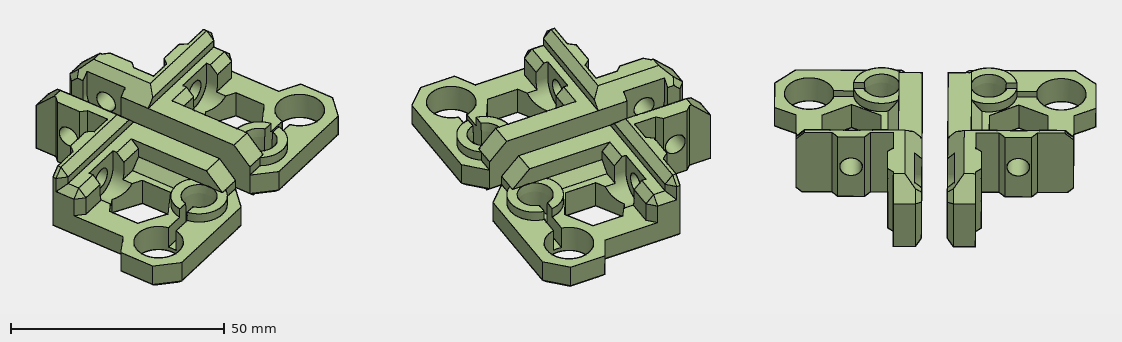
import cadquery as cq


height = 18.0
plate_top = 7.0
ring_top = 9.5
rib_top = 14.0
pocket_floor = 1.1
screw_z = height / 2

arm_end_x = -20.2
plate_end_x = 36.6

inner_y = 3.0
outer_y = 37.65
wall_end_y = 32.5
corner_cut = 4.9
ear_base_x = 19.9
ear_tip_x = 22.7

wall_thickness = 2.9
step_depth = 8.0
edge_chamfer = 2.0
arm_outer_y = 9.65
arm_top_inner_y = 6.9
arm_end_slope = 5.05
arm_tip_chamfer = 1.4
bottom_chamfer = 1.4
rib_outer_y = 8.5
rib_end_x = plate_end_x - corner_cut
rib_end_slope = rib_top - ring_top
rib_foot = ring_top - plate_top

pad_base = 8.95
pad_tip = 6.25
arm_pad_depth = 1.35
wall_pad_depth = 1.65
arm_screw_x = -10.1
wall_screw_y = 19.6

screw_diameter = 5.3
arm_head_diameter = 10.8
arm_head_depth = 1.65
wall_head_diameter = 9.95
wall_head_x = 4.9

hex_x = 15.9
hex_across_corners = 15.9
rod_x = 27.85
rod_y = 29.5
rod_diameter = 11.6
socket_y = 12.6
socket_diameter = 8.0
socket_mouth_diameter = 8.4
socket_hole_diameter = 5.0
ring_diameter = 13.25
slot_width = 2.1


def box(x0, x1, y0, y1, z0, z1):
    """Box between two opposite corners."""
    return cq.Workplane("XY").box(x1 - x0, y1 - y0, z1 - z0, centered=False).translate((x0, y0, z0))


def upright_disc(x, y, diameter, z0, z1):
    """Vertical cylinder."""
    return cq.Workplane("XY", origin=(x, y, z0)).circle(diameter / 2).extrude(z1 - z0)


def chamfered_block(depth, top):
    """Block behind the wall face, above the plate chamfer, with its free corner chamfered."""
    block = box(0, depth, inner_y, wall_end_y, bottom_chamfer, top)
    back_edges = block.faces(">X").edges(">Y or >Z")
    end_edge = block.edges(">Y and >Z")
    return back_edges.add(end_edge).chamfer(edge_chamfer)


def make_plate():
    """Base plate with cut corners, an ear at the free end and a chamfered underside."""
    plate = (
        cq.Workplane("XY")
        .polyline([
            (0, inner_y),
            (rib_end_x, inner_y),
            (plate_end_x, inner_y + corner_cut),
            (plate_end_x, outer_y - corner_cut),
            (plate_end_x - corner_cut, outer_y),
            (ear_tip_x, outer_y),
            (ear_base_x, wall_end_y),
            (0, wall_end_y),
        ])
        .close()
        .extrude(plate_top)
    )
    return plate.faces("<Z").edges("not <X").chamfer(bottom_chamfer)


def make_wall():
    """Tall wall with the lower step block behind it."""
    return chamfered_block(wall_thickness, height).union(chamfered_block(step_depth, rib_top))


def make_arm():
    """Arm with a sloped end and a chamfered tip, running into the wall."""
    profile = [
        (arm_end_x, 0),
        (wall_thickness, 0),
        (wall_thickness, height - edge_chamfer),
        (wall_thickness - edge_chamfer, height),
        (arm_end_x + arm_end_slope, height),
        (arm_end_x, height - arm_end_slope),
    ]
    arm = cq.Workplane("XZ", origin=(0, inner_y, 0)).polyline(profile).close().extrude(inner_y - arm_outer_y)
    upright_edge = arm.edges("<X and <Y")
    sloped_edge = arm.faces("<Y").edges(cq.selectors.ParallelDirSelector(cq.Vector(1, 0, 1)))
    return upright_edge.add(sloped_edge).chamfer(arm_tip_chamfer)


def inner_edge_cut(y_offset, z_start, z_end):
    """Triangular prism along X that bevels the inner side from z_start to the edge at z_end."""
    return (
        cq.Workplane("YZ", origin=(arm_end_x, 0, 0))
        .polyline([(inner_y, z_start), (inner_y, z_end), (inner_y + y_offset, z_end)])
        .close()
        .extrude(plate_end_x - arm_end_x)
    )


def make_rib():
    """Rib along the inner side with a sloped end and a 45 degree foot on the plate."""
    profile = [
        (0, 0),
        (rib_end_x, 0),
        (rib_end_x, ring_top),
        (rib_end_x - rib_end_slope, rib_top),
        (0, rib_top),
    ]
    rib = cq.Workplane("XZ", origin=(0, inner_y, 0)).polyline(profile).close().extrude(inner_y - rib_outer_y)
    foot = (
        cq.Workplane("YZ")
        .polyline([(rib_outer_y, plate_top), (rib_outer_y + rib_foot, plate_top), (rib_outer_y, ring_top)])
        .close()
        .extrude(rod_x)
    )
    return rib.union(foot)


def pad_profile(depth):
    """Trapezoid with its base on the local X axis, centred on the local origin."""
    return [(-pad_base / 2, 0), (-pad_tip / 2, depth), (pad_tip / 2, depth), (pad_base / 2, 0)]


def make_pads():
    """Full-height pads on the outer faces of the arm and the wall."""
    arm_pad = (
        cq.Workplane("XY", origin=(arm_screw_x, arm_outer_y, 0))
        .polyline(pad_profile(arm_pad_depth))
        .close()
        .extrude(height)
    )
    wall_pad = (
        cq.Workplane(cq.Plane(origin=(0, wall_screw_y, 0), xDir=(0, 1, 0), normal=(0, 0, 1)))
        .polyline(pad_profile(wall_pad_depth))
        .close()
        .extrude(height)
    )
    return arm_pad.union(wall_pad)


def head_slot(plane, diameter, depth):
    """Slot with a half-round bottom on the plane's origin, open to the top."""
    radius = diameter / 2
    return (
        cq.Workplane(plane)
        .moveTo(-radius, height)
        .lineTo(-radius, 0)
        .threePointArc((0, -radius), (radius, 0))
        .lineTo(radius, height)
        .close()
        .extrude(depth)
    )


def cut_arm_screw(body):
    """Screw hole through the arm, with its head slot on the inner face."""
    plane = cq.Plane(origin=(arm_screw_x, inner_y, screw_z), xDir=(-1, 0, 0), normal=(0, 1, 0))
    hole = cq.Workplane(plane).circle(screw_diameter / 2).extrude(arm_outer_y + arm_pad_depth - inner_y)
    return body.cut(hole).cut(head_slot(plane, arm_head_diameter, arm_head_depth))


def cut_wall_screw(body):
    """Screw hole through the wall, with its head slot reaching the hexagonal opening."""
    plane = cq.Plane(origin=(-wall_pad_depth, wall_screw_y, screw_z), xDir=(0, 1, 0), normal=(1, 0, 0))
    hole = cq.Workplane(plane).circle(screw_diameter / 2).extrude(wall_pad_depth + wall_head_x)
    slot_plane = cq.Plane(origin=(wall_head_x, wall_screw_y, screw_z), xDir=(0, 1, 0), normal=(1, 0, 0))
    return body.cut(hole).cut(head_slot(slot_plane, wall_head_diameter, hex_x - wall_head_x))


def cut_plate_openings(body):
    """Hexagonal opening, rod hole, stepped socket with a tapered mouth, and the slot joining the last two."""
    hexagon = (
        cq.Workplane("XY", origin=(hex_x, wall_screw_y, 0))
        .polygon(6, hex_across_corners)
        .extrude(plate_top)
    )
    rod_hole = upright_disc(rod_x, rod_y, rod_diameter, 0, plate_top)
    socket = upright_disc(rod_x, socket_y, socket_diameter, pocket_floor, plate_top)
    mouth = (
        cq.Workplane("XY", origin=(rod_x, socket_y, plate_top))
        .circle(socket_diameter / 2)
        .workplane(offset=ring_top - plate_top)
        .circle(socket_mouth_diameter / 2)
        .loft(ruled=True)
    )
    socket_hole = upright_disc(rod_x, socket_y, socket_hole_diameter, 0, pocket_floor)
    slot = box(rod_x - slot_width / 2, rod_x + slot_width / 2, socket_y, rod_y, pocket_floor, ring_top)
    for opening in (hexagon, rod_hole, socket, mouth, socket_hole, slot):
        body = body.cut(opening)
    return body


def make_bracket():
    """Bracket on the +Y side."""
    body = make_plate().union(make_wall()).union(make_arm()).union(make_rib()).union(make_pads())
    body = body.union(upright_disc(rod_x, socket_y, ring_diameter, 0, ring_top))
    body = body.cut(inner_edge_cut(arm_top_inner_y - inner_y, rib_top, height))
    body = body.cut(inner_edge_cut(bottom_chamfer, bottom_chamfer, 0))
    body = cut_arm_screw(body)
    body = cut_wall_screw(body)
    return cut_plate_openings(body)


bracket = make_bracket()
mirrored_bracket = bracket.mirror("XZ")

result = cq.Compound.makeCompound([bracket.val(), mirrored_bracket.val()])